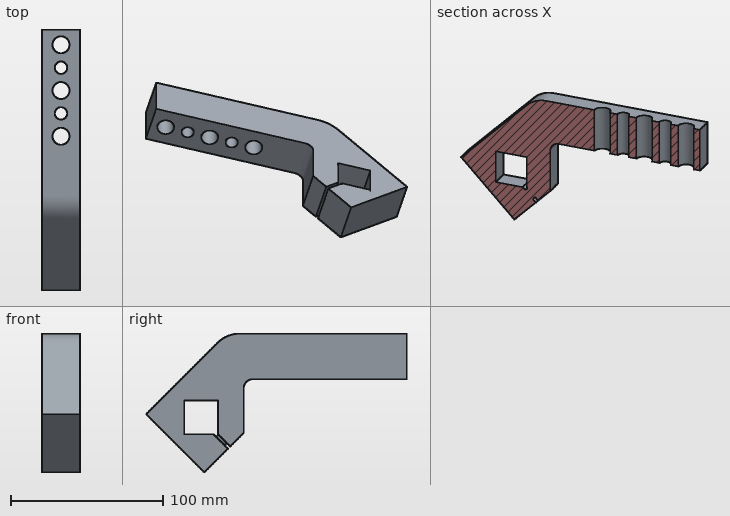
import cadquery as cq
import math


width = 25.0
arm_thickness = 30.0
outer_bend_radius = 20.0
inner_bend_radius = 6.0
inner_face_y = -107.0

bar_size = 22.0
bar_y = -135.0
bar_z = -55.0
head_width = 54.0
bar_to_end_face = 24.0

slit_width = 2.0
pin_diameter = 8.0
pin_offset = 20.0

large_hole_diameter = 11.0
small_hole_diameter = 8.0
hole_count = 5
first_hole_distance = 10.0
hole_pitch = 15.0

DIAGONAL = math.sqrt(0.5)
half_head = head_width / 2


def head_point(along, across):
    """Y, Z of a point measured from the bar centre in the tilted head frame.

    along points down the slope to the end face; across points from the
    slit side to the sloped outer face.
    """
    y = bar_y - (along + across) * DIAGONAL
    z = bar_z + (across - along) * DIAGONAL
    return y, z


def make_body():
    end_outer = head_point(bar_to_end_face, half_head)
    end_inner = head_point(bar_to_end_face, -half_head)
    outer_bend_y = end_outer[0] - end_outer[1]
    jaw_corner_z = end_inner[1] + inner_face_y - end_inner[0]
    outline = [
        (0, 0),
        (outer_bend_y, 0),
        end_outer,
        end_inner,
        (inner_face_y, jaw_corner_z),
        (inner_face_y, -arm_thickness),
        (0, -arm_thickness),
    ]
    body = cq.Workplane("YZ").polyline(outline).close().extrude(width / 2, both=True)
    outer_bend = cq.NearestToPointSelector((0, outer_bend_y, 0))
    inner_bend = cq.NearestToPointSelector((0, inner_face_y, -arm_thickness))
    body = body.edges("|X").edges(outer_bend).fillet(outer_bend_radius)
    return body.edges("|X").edges(inner_bend).fillet(inner_bend_radius)


def make_bar_hole():
    return cq.Workplane("XY").box(width, bar_size, bar_size).translate((0, bar_y, bar_z))


def make_slit():
    corners = [
        head_point(0, 0),
        head_point(slit_width, 0),
        head_point(slit_width, -half_head),
        head_point(0, -half_head),
    ]
    return cq.Workplane("YZ").polyline(corners).close().extrude(width / 2, both=True)


def make_pin():
    pin_y, pin_z = head_point(0, -pin_offset)
    pin_plane = cq.Plane(origin=(0, pin_y, pin_z), xDir=(1, 0, 0), normal=(0, -1, -1))
    return cq.Workplane(pin_plane).circle(pin_diameter / 2).extrude(slit_width)


def make_arm_holes():
    holes = cq.Workplane("XY")
    for index in range(hole_count):
        diameter = large_hole_diameter if index % 2 == 0 else small_hole_diameter
        hole_y = -(first_hole_distance + index * hole_pitch)
        hole = cq.Workplane("XY").center(0, hole_y).circle(diameter / 2).extrude(-arm_thickness)
        holes = holes.add(hole)
    return holes.combine()


body = make_body().cut(make_arm_holes())
body = body.cut(make_bar_hole()).cut(make_slit())
result = body.union(make_pin()).solids()